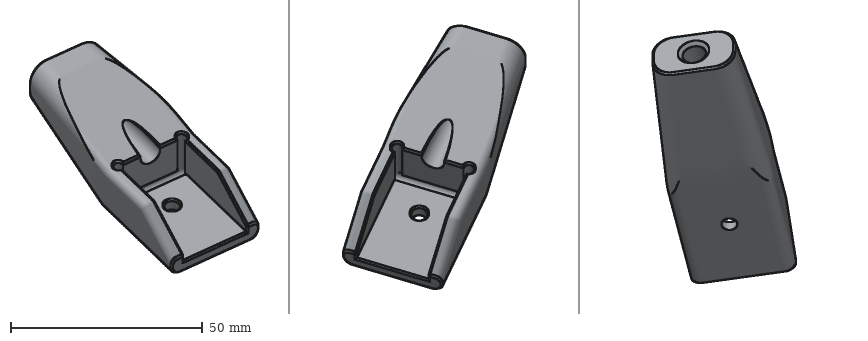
import cadquery as cq
import math

LENGTH = 70.0
WIDTH = 28.0
HEIGHT = 21.0
EDGE_CHAMFER = 0.5

NOSE_WIDTH = 22.0
NOSE_BOTTOM = 6.9
NOSE_TOP_LENGTH = 8.0
NOSE_RADIUS = 5.6
TAPER_END = 34.8
BOTTOM_SLOPE_END = 31.1
BOTTOM_BLEND_RADIUS = 24.5

DECK_HEIGHT = 15.0
DECK_START = 40.0
TAIL_START = 56.5
TAIL_HEIGHT = 5.6
TOP_RADIUS = 2.0
BOTTOM_RADIUS = 3.0

POCKET_WIDTH = 20.0
POCKET_START = DECK_START
POCKET_FLOOR = 3.5
LIP_RADIUS = 1.05
GROOVE_RADIUS = 1.4
GROOVE_HEIGHT = POCKET_FLOOR - LIP_RADIUS

BORE_DIAMETER = 6.2
BORE_HEIGHT = 14.0
BORE_CHAMFER = 1.05
SCREW_DIAMETER = 4.1
SCREW_X = 50.0
SCREW_CHAMFER = 0.5

OVERLAP = 7.0

TOLERANCE = 0.01


def make_nose():
    """Tapered block with a sloping underside and rounded long edges."""
    reach = LENGTH + OVERLAP
    side_slope = (WIDTH - NOSE_WIDTH) / 2 / TAPER_END
    bottom_slope = NOSE_BOTTOM / BOTTOM_SLOPE_END
    front_half_width = NOSE_WIDTH / 2
    rear_half_width = front_half_width + side_slope * reach
    rear_bottom = NOSE_BOTTOM - bottom_slope * reach
    plan = (
        cq.Workplane("XY")
        .polyline([
            (0, -front_half_width),
            (reach, -rear_half_width),
            (reach, rear_half_width),
            (0, front_half_width),
        ])
        .close()
        .extrude(2 * HEIGHT, both=True)
    )
    side = (
        cq.Workplane("XZ")
        .polyline([(0, NOSE_BOTTOM), (reach, rear_bottom), (reach, HEIGHT), (0, HEIGHT)])
        .close()
        .extrude(WIDTH, both=True)
    )
    nose = plan.intersect(side)
    nose = nose.edges("(not |Y) and (not |Z)").fillet(NOSE_RADIUS)
    return nose.faces("<X").chamfer(EDGE_CHAMFER)


def round_side_edges(body, radius, lowest, highest):
    """Round the edges of both side faces whose middle height lies in the given range."""
    side_edges = body.faces("<Y or >Y").edges("not |Z").vals()
    chosen = [edge for edge in side_edges if lowest < edge.Center().z < highest]
    return body.newObject(chosen).fillet(radius)


def make_body():
    """Full-width side profile with rounded upper and lower side edges."""
    body = (
        cq.Workplane("XZ")
        .polyline([
            (0, NOSE_BOTTOM),
            (BOTTOM_SLOPE_END, 0),
            (LENGTH, 0),
            (LENGTH, TAIL_HEIGHT),
            (TAIL_START, DECK_HEIGHT),
            (DECK_START, DECK_HEIGHT),
            (NOSE_TOP_LENGTH, HEIGHT),
            (0, HEIGHT),
        ])
        .close()
        .extrude(WIDTH / 2, both=True)
    )
    body = body.edges(cq.NearestToPointSelector((TAIL_START, 0, DECK_HEIGHT))).fillet(TOP_RADIUS)
    body = body.edges(cq.NearestToPointSelector((BOTTOM_SLOPE_END, 0, 0))).fillet(BOTTOM_BLEND_RADIUS)
    body = round_side_edges(body, TOP_RADIUS, NOSE_BOTTOM, HEIGHT + OVERLAP)
    return round_side_edges(body, BOTTOM_RADIUS, -OVERLAP, NOSE_BOTTOM)


def make_pocket():
    """Open-ended pocket with a round groove and corner reliefs along its front wall."""
    half_width = POCKET_WIDTH / 2
    top = HEIGHT
    end = LENGTH + OVERLAP
    lip_start = POCKET_START + GROOVE_RADIUS
    lip_centre = (lip_start + LIP_RADIUS, POCKET_FLOOR - LIP_RADIUS)
    lip_middle = (
        lip_centre[0] - LIP_RADIUS * math.cos(math.pi / 4),
        lip_centre[1] + LIP_RADIUS * math.sin(math.pi / 4),
    )
    pocket = (
        cq.Workplane("XZ")
        .moveTo(POCKET_START, top)
        .lineTo(POCKET_START, GROOVE_HEIGHT)
        .lineTo(lip_start, GROOVE_HEIGHT)
        .threePointArc(lip_middle, (lip_centre[0], POCKET_FLOOR))
        .lineTo(end, POCKET_FLOOR)
        .lineTo(end, top)
        .close()
        .extrude(half_width, both=True)
    )
    groove = (
        cq.Workplane("XZ")
        .center(POCKET_START, GROOVE_HEIGHT)
        .circle(GROOVE_RADIUS)
        .extrude(half_width, both=True)
    )
    pocket = pocket.union(groove)
    for y in (-half_width, half_width):
        corner = cq.Workplane("XY").workplane(offset=GROOVE_HEIGHT).center(POCKET_START, y)
        relief = corner.circle(GROOVE_RADIUS).extrude(top)
        pocket = pocket.union(relief).union(corner.sphere(GROOVE_RADIUS))
    return pocket


def is_pocket_rim(edge):
    """True for the edges where the pocket walls meet the upper surfaces."""
    middle = edge.positionAt(0.5)
    offset_y = abs(middle.y) - POCKET_WIDTH / 2
    corner_distance = math.hypot(middle.x - POCKET_START, offset_y)
    on_rail_wall = abs(offset_y) < TOLERANCE
    on_front_wall = abs(middle.x - POCKET_START) < TOLERANCE and offset_y < 0
    on_relief_wall = abs(corner_distance - GROOVE_RADIUS) < TOLERANCE
    upright = abs(edge.tangentAt(0.5).z) > 1 - TOLERANCE
    on_wall = on_rail_wall or on_front_wall or on_relief_wall
    return on_wall and not upright and middle.z > TAIL_HEIGHT


result = make_body().intersect(make_nose()).cut(make_pocket())
rim = [edge for edge in result.edges().vals() if is_pocket_rim(edge)]
result = result.newObject(rim).chamfer(EDGE_CHAMFER)
result = result.faces(">X").chamfer(EDGE_CHAMFER)

bore = (
    cq.Workplane("YZ")
    .center(0, BORE_HEIGHT)
    .circle(BORE_DIAMETER / 2)
    .extrude(POCKET_START + OVERLAP)
)
result = result.cut(bore)
bore_top = BORE_HEIGHT + BORE_DIAMETER / 2
top_slope = (HEIGHT - DECK_HEIGHT) / (DECK_START - NOSE_TOP_LENGTH)
breakout_x = NOSE_TOP_LENGTH + (HEIGHT - bore_top) / top_slope
breakout = cq.NearestToPointSelector((breakout_x, 0, bore_top))
result = result.edges(breakout).chamfer(EDGE_CHAMFER)
result = result.faces("<X").edges("%CIRCLE").chamfer(BORE_CHAMFER)

screw_hole = cq.Workplane("XY").center(SCREW_X, 0).circle(SCREW_DIAMETER / 2).extrude(HEIGHT)
result = result.cut(screw_hole)
screw_mouth = cq.NearestToPointSelector((SCREW_X, 0, POCKET_FLOOR))
result = result.edges(screw_mouth).chamfer(SCREW_CHAMFER)